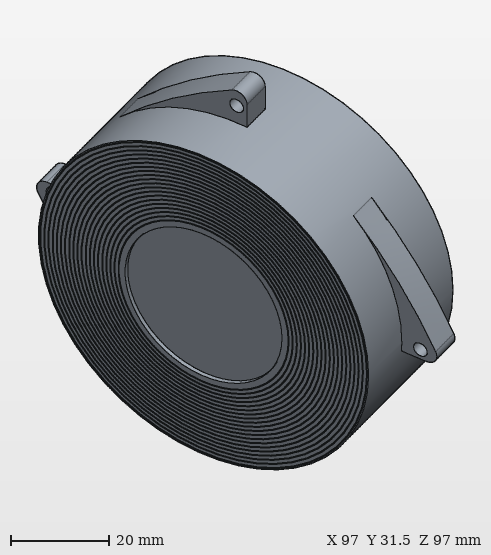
import cadquery as cq
import math

OVERALL_SPAN = 97.0
DISC_DIAMETER = 80.0
DISC_WIDTH = 31.5

RECESS_DIAMETER = 38.0
RECESS_DEPTH = 1.0

GROOVE_COUNT = 20
GROOVE_WIDTH = 0.2
GROOVE_DEPTH = 0.05
GROOVED_BAND_WIDTH = 19.2
RIM_LAND = 0.31

LUG_COUNT = 4
LUG_WIDTH = 6.8
LUG_TIP_RADIUS = 2.5
LUG_FOOT_ANGLE = 45.0
HOLE_DIAMETER = 3.3
HOLE_CENTRE_RADIUS = 44.5

DISC_RADIUS = DISC_DIAMETER / 2
FRONT_Y = -DISC_WIDTH / 2


def front_sketch():
    """Sketch on the front face; extruding by a negative length goes into the disc."""
    return cq.Workplane("XZ", origin=(0, FRONT_Y, 0))


def make_disc():
    """Plain disc with a shallow round recess in the middle of its front face."""
    disc = front_sketch().circle(DISC_RADIUS).extrude(-DISC_WIDTH)
    recess = front_sketch().circle(RECESS_DIAMETER / 2).extrude(-RECESS_DEPTH)
    return disc.cut(recess)


def make_groove(inner_radius):
    """Ring that cuts one sealing groove into the front face."""
    return front_sketch().circle(inner_radius + GROOVE_WIDTH).circle(inner_radius).extrude(-GROOVE_DEPTH)


def lug_sketch():
    """Sketch on the front side of the lugs, which sit midway along the disc width."""
    return cq.Workplane("XZ", origin=(0, -LUG_WIDTH / 2, 0))


def make_lug():
    """Lug pointing up: straight right side, rounded tip and a curved back."""
    tip_z = OVERALL_SPAN / 2 - LUG_TIP_RADIUS

    foot_angle = math.radians(LUG_FOOT_ANGLE)
    foot_sin = math.sin(foot_angle)
    foot_cos = math.cos(foot_angle)
    radius_gap = DISC_RADIUS - LUG_TIP_RADIUS
    offset = (tip_z**2 - radius_gap**2) / (2 * (radius_gap - tip_z * foot_cos))
    back_radius = DISC_RADIUS + offset
    back_x = offset * foot_sin
    back_z = -offset * foot_cos

    tip_angle = math.atan2(tip_z - back_z, -back_x)
    foot_end_angle = math.pi / 2 + foot_angle
    middle_angle = (tip_angle + foot_end_angle) / 2

    def back_point(angle):
        return (back_x + back_radius * math.cos(angle), back_z + back_radius * math.sin(angle))

    outline = (
        lug_sketch()
        .lineTo(LUG_TIP_RADIUS, 0)
        .lineTo(LUG_TIP_RADIUS, tip_z)
        .threePointArc((0, OVERALL_SPAN / 2), back_point(tip_angle))
        .threePointArc(back_point(middle_angle), back_point(foot_end_angle))
        .close()
    )
    hole = lug_sketch().center(0, HOLE_CENTRE_RADIUS).circle(HOLE_DIAMETER / 2)
    return outline.extrude(-LUG_WIDTH).cut(hole.extrude(-LUG_WIDTH))


result = make_disc()

lug = make_lug()
for i in range(LUG_COUNT):
    result = result.union(lug.rotate((0, 0, 0), (0, 1, 0), i * 360 / LUG_COUNT))

first_groove_radius = DISC_RADIUS - RIM_LAND - GROOVED_BAND_WIDTH
groove_pitch = (GROOVED_BAND_WIDTH - GROOVE_WIDTH) / (GROOVE_COUNT - 1)
for i in range(GROOVE_COUNT):
    result = result.cut(make_groove(first_groove_radius + i * groove_pitch))